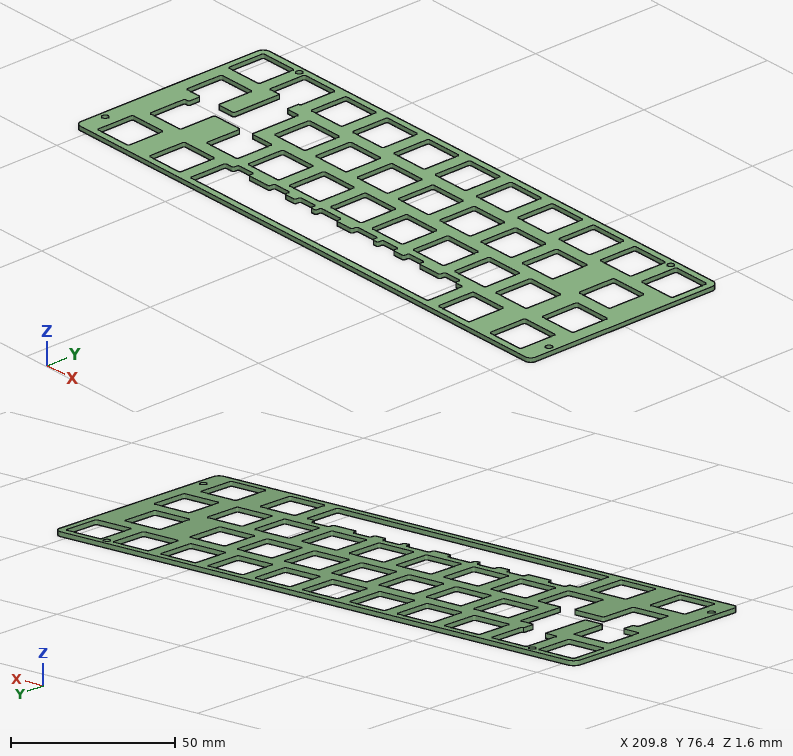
import cadquery as cq

plate_length = 209.8
plate_width = 76.4
plate_thickness = 1.6
upper_corner_radius = 2.7
lower_corner_radius = 2.3

top_row_keys = 11
top_row_span = 190.5
key_pitch = top_row_span / (top_row_keys - 1)
key_opening = 14.3
key_corner_radius = 0.6
half_opening = key_opening / 2
row_y = [(1.5 - row) * key_pitch for row in range(4)]

row_keys = [
    [-5 + key for key in range(top_row_keys)],
    [-4.875] + [-3.75 + key for key in range(8)] + [4.625],
    [-4.625] + [-3.25 + key for key in range(8)] + [4.875],
    [-4.75, -3.5, 3.5, 4.75],
]

link_left_x = -93.4
link_width = 5.7
riser_right_x = -69.9

space_end_key = 2.5
space_length = 2 * space_end_key * key_pitch + key_opening
notch_width = 7.1
notch_depth = 2.0
notch_keys = [0.375, 0.5, 1, 1.625, space_end_key]

screw_hole_diameter = 2.3
upper_screw_x = 4.5 * key_pitch
upper_screw_y = 35.7
lower_screw_x = 102.4
lower_screw_y = -28.3


def block(x_min, x_max, y_min, y_max):
    """Box as thick as the plate between the given limits."""
    return (
        cq.Workplane("XY")
        .box(x_max - x_min, y_max - y_min, plate_thickness, centered=False)
        .translate((x_min, y_min, -plate_thickness / 2))
    )


def key_block(center_x, center_y, length):
    """Sharp-cornered opening as tall as a key."""
    half_length = length / 2
    return block(
        center_x - half_length,
        center_x + half_length,
        center_y - half_opening,
        center_y + half_opening,
    )


def rounded_block(center_x, center_y, length, width, radius):
    """Plate-thick box with rounded vertical edges."""
    return (
        cq.Workplane("XY")
        .box(length, width, plate_thickness)
        .edges("|Z")
        .fillet(radius)
        .translate((center_x, center_y, 0))
    )


def rounded_union(blocks):
    """Join overlapping boxes into one opening and round its inner and outer corners."""
    opening = blocks[0]
    for part in blocks[1:]:
        opening = opening.union(part)
    return opening.clean().edges("|Z").fillet(key_corner_radius)


def key_cutters():
    return [
        rounded_block(key * key_pitch, y, key_opening, key_opening, key_corner_radius)
        for y, keys in zip(row_y, row_keys)
        for key in keys
    ]


def linked_keys_cutter():
    """Opening that joins the top row to the first openings of the second and third rows."""
    joined_keys = [(row, key) for row in (1, 2) for key in row_keys[row][:2]]
    blocks = [key_block(key * key_pitch, row_y[row], key_opening) for row, key in joined_keys]
    riser_key_x = row_keys[1][1] * key_pitch
    left_x = riser_key_x - half_opening
    right_x = riser_key_x + half_opening
    blocks.append(block(left_x, riser_right_x, row_y[1], row_y[0]))
    blocks.append(block(left_x, right_x, -link_width / 2, row_y[1]))
    blocks.append(block(link_left_x, right_x, -link_width / 2, link_width / 2))
    return rounded_union(blocks)


def space_bar_cutter():
    """Space bar opening with relief notches along its upper edge."""
    y = row_y[3]
    notch_top = y + half_opening + notch_depth
    blocks = [key_block(0, y, space_length)]
    for key in notch_keys:
        for side in (-1, 1):
            x = side * key * key_pitch
            blocks.append(block(x - notch_width / 2, x + notch_width / 2, y, notch_top))
    return rounded_union(blocks)


def screw_hole_cutter():
    points = []
    for side in (-1, 1):
        points.append((side * upper_screw_x, upper_screw_y))
        points.append((side * lower_screw_x, lower_screw_y))
    holes = (
        cq.Workplane("XY")
        .pushPoints(points)
        .circle(screw_hole_diameter / 2)
        .extrude(plate_thickness / 2, both=True)
    )
    return holes


def plate_blank():
    return (
        cq.Workplane("XY")
        .box(plate_length, plate_width, plate_thickness)
        .edges("|Z and >Y")
        .fillet(upper_corner_radius)
        .edges("|Z and <Y")
        .fillet(lower_corner_radius)
    )


result = plate_blank()
for cutter in key_cutters():
    result = result.cut(cutter)
result = result.cut(linked_keys_cutter()).cut(space_bar_cutter()).cut(screw_hole_cutter())